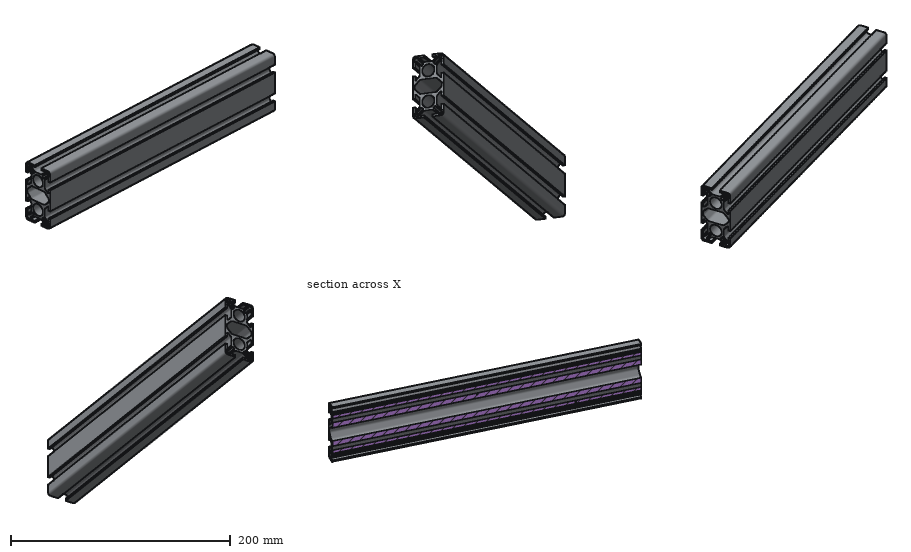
import cadquery as cq
import math

length = 300.0
cell = 30.0
half_cell = cell / 2
corner_radius = 3.0

lip = 2.0
slot_opening = 8.0
slot_half_width = 8.0
slot_floor = 8.5
web_half_width = 2.85
slot_floor_fillet = 2.5
slot_corner_fillet = 0.5

outer_wall = 1.8
wall_inside = half_cell - outer_wall
channel_width = 2.5
channel_start = 8.5
pocket_inner = 9.5

bore_diameter = 12.0
cavity_height = 13.8
cavity_chamfer = 5.0
cavity_fillet = 3.0


def section():
    """Sketch plane of the cross-section: local x is X and local y is Z."""
    return cq.Workplane("XZ", origin=(0, length / 2, 0))


def t_slot(cell_z, angle):
    """T-slot of one cell; at angle 0 it opens towards +X."""
    web_offset = web_half_width * math.sqrt(2)
    lip_inside = half_cell - lip
    upper_half = [
        (slot_floor, slot_floor - web_offset),
        (slot_half_width + web_offset, slot_half_width),
        (lip_inside, slot_half_width),
    ]
    lower_half = [(x, -z) for x, z in reversed(upper_half)]
    chamber = section().polyline(upper_half + lower_half).close().extrude(length)
    chamber = chamber.edges("|Y and <X").fillet(slot_floor_fillet)
    chamber = chamber.edges("|Y and >X").fillet(slot_corner_fillet)
    mouth_depth = 2 * lip
    mouth = (
        section()
        .center(half_cell - mouth_depth / 2, 0)
        .rect(mouth_depth, slot_opening)
        .extrude(length)
    )
    slot = chamber.union(mouth)
    return slot.rotate((0, 0, 0), (0, 1, 0), angle).translate((0, 0, cell_z))


def corner_pocket(side_x, side_z):
    """Pocket in one outer corner, continued by a diagonal channel."""
    size = wall_inside - pocket_inner
    middle = (wall_inside + pocket_inner) / 2
    pocket = section().center(middle, middle).rect(size, size).extrude(length)
    pocket = pocket.edges("|Y and >X and >Z").fillet(corner_radius - outer_wall)
    channel_length = middle * math.sqrt(2) - channel_start
    channel = (
        section()
        .center(channel_start + channel_length / 2, 0)
        .rect(channel_length, channel_width)
        .extrude(length)
        .rotate((0, 0, 0), (0, 1, 0), -45)
    )
    shape = pocket.union(channel)
    if side_x < 0:
        shape = shape.mirror("YZ")
    if side_z < 0:
        shape = shape.mirror("XY")
    return shape.translate((0, 0, side_z * half_cell))


def bore(cell_z):
    return section().center(0, cell_z).circle(bore_diameter / 2).extrude(length)


def middle_cavity():
    """Octagonal cavity between the two cells."""
    cavity = section().rect(2 * wall_inside, cavity_height).extrude(length)
    cavity = cavity.edges("|Y").chamfer(cavity_chamfer)
    return cavity.edges("|Y").fillet(cavity_fillet)


profile = section().rect(cell, 2 * cell).extrude(length)
profile = profile.edges("|Y").fillet(corner_radius)
profile = profile.cut(middle_cavity())

for side_z in (-1, 1):
    cell_z = side_z * half_cell
    profile = profile.cut(bore(cell_z))
    for slot_angle in (0, 180, -90 * side_z):
        profile = profile.cut(t_slot(cell_z, slot_angle))
    for side_x in (-1, 1):
        profile = profile.cut(corner_pocket(side_x, side_z))

result = profile